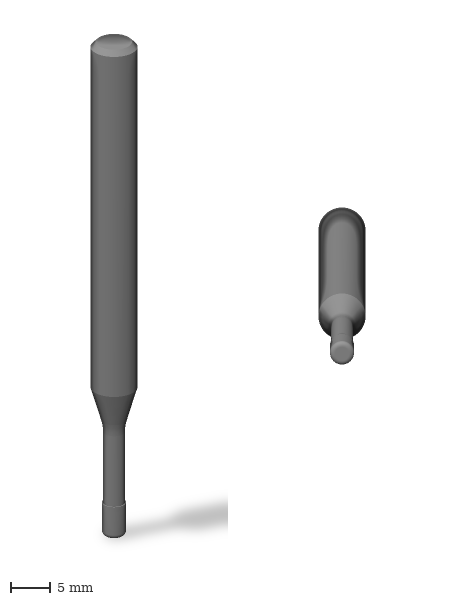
import cadquery as cq
import math

total_length = 70.0
cutter_length = 4.0
collar_top = 4.6
blend_bottom = 14.6
cone_top = 21.0

shank_radius = 3.0
tip_radius = 1.55
neck_radius = 1.4
tip_corner_radius = 0.6
shank_chamfer_width = 0.7
shank_chamfer_height = 0.7

blend_radius = 6.0
center_x = neck_radius + blend_radius
to_center_x = center_x - shank_radius
to_center_z = cone_top - blend_bottom
center_distance = math.hypot(to_center_x, to_center_z)
cone_angle = math.asin(blend_radius / center_distance) - math.atan2(to_center_x, to_center_z)


def blend_point(angle):
    """Radius and height on the blend arc, with the angle measured from the neck end."""
    radius = center_x - blend_radius * math.cos(angle)
    height = blend_bottom + blend_radius * math.sin(angle)
    return radius, height


def make_cutter():
    """Cylindrical cutting tip with a rounded bottom corner."""
    cutter = cq.Workplane("XY").circle(tip_radius).extrude(cutter_length)
    return cutter.faces("<Z").edges().fillet(tip_corner_radius)


def make_shank():
    """Collar, thin neck, blended cone and chamfered shank, turned about Z."""
    return (
        cq.Workplane("XZ")
        .moveTo(0, cutter_length)
        .lineTo(tip_radius, cutter_length)
        .lineTo(tip_radius, collar_top)
        .lineTo(neck_radius, collar_top)
        .lineTo(neck_radius, blend_bottom)
        .threePointArc(blend_point(cone_angle / 2), blend_point(cone_angle))
        .lineTo(shank_radius, cone_top)
        .lineTo(shank_radius, total_length - shank_chamfer_height)
        .lineTo(shank_radius - shank_chamfer_width, total_length)
        .lineTo(0, total_length)
        .close()
        .revolve(360, (0, 0, 0), (0, 1, 0))
    )


cutter = make_cutter()
shank = make_shank()

result = cq.Compound.makeCompound([cutter.val(), shank.val()])